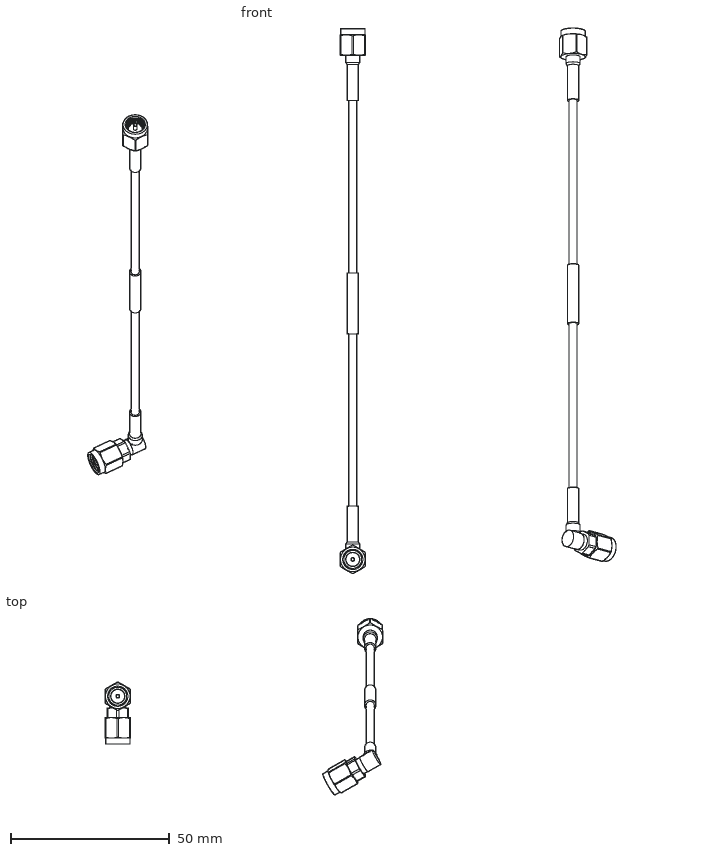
import cadquery as cq
import math


total_length = 171.4
total_depth = 19.5

nut_flats = 7.9
nut_corner_diameter = 8.9
nut_length = 8.4
rim_diameter = 7.7
rim_length = 1.9
thread_root_diameter = 6.3
thread_crest_diameter = 5.7
thread_pitch = 0.7
thread_turns = 7
chamfer_angle = 30.0
nut_bore_depth = thread_pitch * thread_turns
nut_corner_radius = nut_corner_diameter / 2

core_diameter = 4.5
core_face_diameter = 4.3
core_height = 2.5
pin_diameter = 1.2
pin_tip_diameter = 0.95
pin_height = 2.0

neck_diameter = 4.5
straight_neck_length = 2.9
neck_taper_length = 0.7
ferrule_diameter = 3.6
ferrule_length = 11.3

barrel_diameter = 5.3
barrel_length = 4.6
collar_flats = 6.7
collar_length = 2.9
collar_corner_diameter = 7.4
shank_diameter = 5.1
neck_base = 2.4
elbow_neck_top = 5.5

cable_diameter = 2.5
marker_diameter = 3.6
marker_length = 19.2
marker_center = 80.5

elbow_reach = total_depth - nut_corner_radius
straight_end = total_length - nut_corner_radius
straight_neck_end = straight_end - nut_length - straight_neck_length
cable_top = straight_neck_end
cable_bottom = elbow_neck_top


def cylinder(diameter, bottom, height):
    return cq.Workplane("XY").workplane(offset=bottom).circle(diameter / 2).extrude(height)


def cone(bottom_diameter, top_diameter, bottom, height):
    solid = cq.Solid.makeCone(bottom_diameter / 2, top_diameter / 2, height, cq.Vector(0, 0, bottom))
    return cq.Workplane(obj=solid)


def hexagon(flats, corner_diameter, bottom, height):
    """Hexagonal prism along Z with flats facing +X and -X and its corners turned to a diameter."""
    sharp_diameter = 2 * flats / math.sqrt(3)
    prism = cq.Workplane("XY").workplane(offset=bottom).polygon(6, sharp_diameter).extrude(height)
    prism = prism.rotate((0, 0, 0), (0, 0, 1), 30)
    return prism.intersect(cylinder(corner_diameter, bottom, height))


def chamfered_hexagon():
    """Hexagonal part of the nut, from Z = 0 up, with its corners chamfered at both ends."""
    length = nut_length - rim_length
    slope = math.tan(math.radians(chamfer_angle))
    corner_drop = (nut_corner_radius - rim_diameter / 2) * slope
    turned = (
        cq.Workplane("XZ")
        .lineTo(rim_diameter / 2, 0)
        .lineTo(nut_corner_radius, corner_drop)
        .lineTo(nut_corner_radius, length - corner_drop)
        .lineTo(rim_diameter / 2, length)
        .lineTo(0, length)
        .close()
        .revolve(360, (0, 0, 0), (0, 1, 0))
    )
    return hexagon(nut_flats, nut_corner_diameter, 0, length).intersect(turned)


def threaded_bore(bottom):
    """Volume of the nut's bore: a stack of V-shaped rings, from root to crest to root."""
    root_radius = thread_root_diameter / 2
    crest_radius = thread_crest_diameter / 2
    profile = cq.Workplane("XZ").moveTo(0, bottom).lineTo(root_radius, bottom)
    for turn in range(thread_turns):
        turn_bottom = bottom + turn * thread_pitch
        profile = profile.lineTo(crest_radius, turn_bottom + thread_pitch / 2)
        profile = profile.lineTo(root_radius, turn_bottom + thread_pitch)
    profile = profile.lineTo(0, bottom + nut_bore_depth).close()
    return profile.revolve(360, (0, 0, 0), (0, 1, 0))


def plug_head():
    """Nut with the contact inside it; the rear face is at Z = 0 and the open end points up."""
    bore_floor = nut_length - nut_bore_depth
    core_chamfer = (core_diameter - core_face_diameter) / 2
    core_side = core_height - core_chamfer
    pin_chamfer = (pin_diameter - pin_tip_diameter) / 2
    core_top = bore_floor + core_height
    pin_side = pin_height - pin_chamfer

    head = chamfered_hexagon()
    head = head.union(cylinder(rim_diameter, nut_length - rim_length, rim_length))
    head = head.cut(threaded_bore(bore_floor))
    head = head.union(cylinder(core_diameter, bore_floor, core_side))
    head = head.union(cone(core_diameter, core_face_diameter, bore_floor + core_side, core_chamfer))
    head = head.union(cylinder(pin_diameter, core_top, pin_side))
    return head.union(cone(pin_diameter, pin_tip_diameter, core_top + pin_side, pin_chamfer))


def cable_grip(bottom, neck_top):
    """Neck along Z, tapered down to the ferrule above it, which is bored for the cable."""
    taper_bottom = neck_top - neck_taper_length
    grip = cylinder(neck_diameter, bottom, taper_bottom - bottom)
    grip = grip.union(cone(neck_diameter, ferrule_diameter, taper_bottom, neck_taper_length))
    grip = grip.union(cylinder(ferrule_diameter, neck_top, ferrule_length))
    return grip.cut(cylinder(cable_diameter, neck_top, ferrule_length))


def make_straight_plug():
    nut_rear = straight_end - nut_length
    grip = cable_grip(0, straight_neck_length).rotate((0, 0, 0), (1, 0, 0), 180)
    return plug_head().union(grip).translate((0, 0, nut_rear))


def make_elbow_plug():
    nut_rear = elbow_reach - nut_length
    collar_rear = nut_rear - collar_length
    barrel_end = barrel_length / 2
    arm = plug_head().translate((0, 0, nut_rear))
    arm = arm.union(hexagon(collar_flats, collar_corner_diameter, collar_rear, collar_length))
    arm = arm.union(cylinder(shank_diameter, barrel_end, collar_rear - barrel_end))
    arm = arm.union(cylinder(barrel_diameter, -barrel_end, barrel_length))
    arm = arm.rotate((0, 0, 0), (1, 0, 0), 90)
    return arm.union(cable_grip(neck_base, elbow_neck_top))


def make_cable():
    return cylinder(cable_diameter, cable_bottom, cable_top - cable_bottom)


def make_marker():
    bottom = marker_center - marker_length / 2
    sleeve = cylinder(marker_diameter, bottom, marker_length)
    return sleeve.cut(cylinder(cable_diameter, bottom, marker_length))


straight_plug = make_straight_plug()
elbow_plug = make_elbow_plug()
cable = make_cable()
marker = make_marker()

result = cq.Compound.makeCompound([straight_plug.val(), elbow_plug.val(), cable.val(), marker.val()])